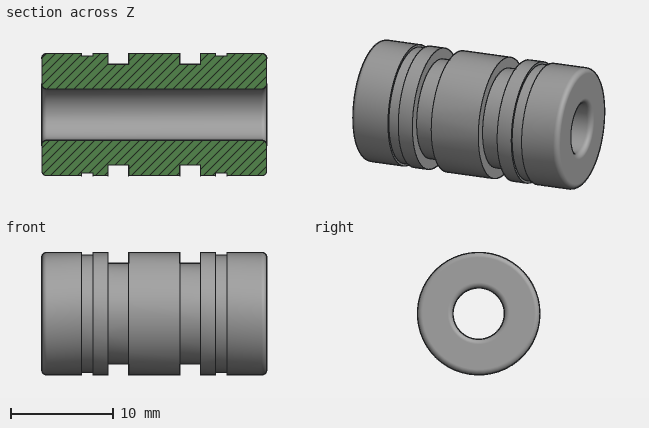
import cadquery as cq

length = 22.0
outer_diameter = 12.0
bore_diameter = 5.0
edge_radius = 0.5

central_land_width = 5.0
deep_groove_width = 2.0
deep_groove_diameter = 9.85

intermediate_land_width = 1.5
shallow_groove_width = 1.1
shallow_groove_diameter = 11.5

deep_groove_start = central_land_width / 2
shallow_groove_start = deep_groove_start + deep_groove_width + intermediate_land_width


def make_sleeve():
    """Bored cylinder with rounded inner and outer rims at both ends."""
    sleeve = (
        cq.Workplane("YZ")
        .workplane(offset=-length / 2)
        .circle(outer_diameter / 2)
        .circle(bore_diameter / 2)
        .extrude(length)
    )
    return sleeve.faces("<X or >X").edges().fillet(edge_radius)


def groove_ring(start, width, floor_diameter):
    """Ring of material to remove, beginning at X = start."""
    return (
        cq.Workplane("YZ")
        .workplane(offset=start)
        .circle(outer_diameter)
        .circle(floor_diameter / 2)
        .extrude(width)
    )


result = make_sleeve()
for start, width, floor_diameter in (
    (deep_groove_start, deep_groove_width, deep_groove_diameter),
    (shallow_groove_start, shallow_groove_width, shallow_groove_diameter),
):
    ring = groove_ring(start, width, floor_diameter)
    result = result.cut(ring).cut(ring.mirror("YZ"))